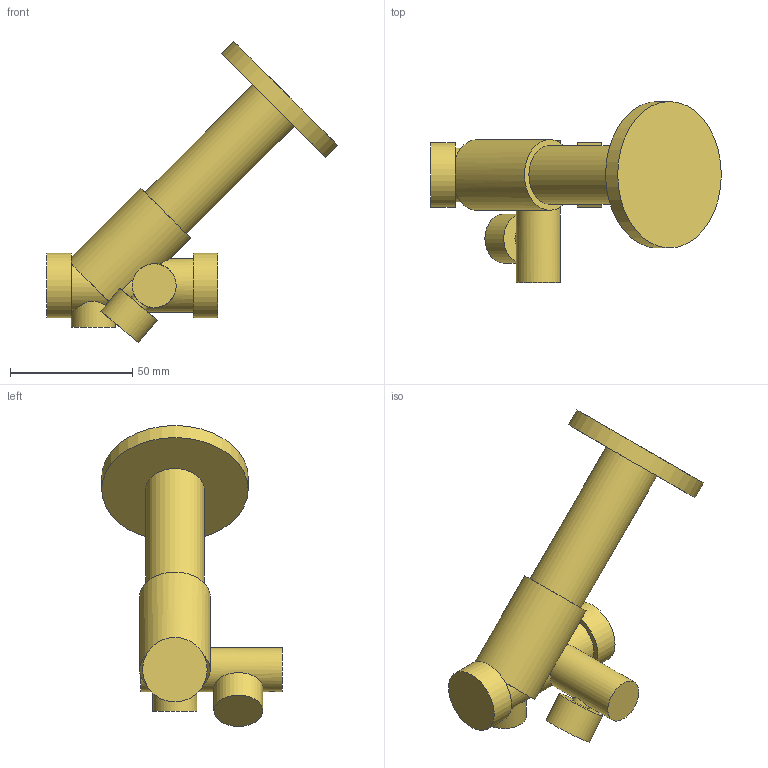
import cadquery as cq
import math


body_diameter = 22
cap_diameter = 26.44
cap_length = 10
body_start = -19
body_length = 70

post_angle = 45
sleeve_diameter = 29
sleeve_length = 42
tube_diameter = 24
plate_diameter = 60
plate_thickness = 7
plate_reach = 100

stub_diameter = 18
stub_length = 17

arm_diameter = 18
arm_x = 25
arm_back = 14
arm_front = -44

knob_angle = 50
knob_diameter = 20
knob_start = 10
knob_length = 12
knob_y = -26
neck_diameter = 8

origin = cq.Vector(0, 0, 0)


def cylinder(diameter, base, direction, start, end):
    """Cylinder on the axis through base, between two distances along the unit direction."""
    return cq.Workplane(
        cq.Solid.makeCylinder(diameter / 2, end - start, base + direction * start, direction)
    )


def direction_in_xz(angle):
    """Unit direction in the XZ plane, turned by angle degrees from +X toward +Z."""
    return cq.Vector(math.cos(math.radians(angle)), 0, math.sin(math.radians(angle)))


def make_body():
    axis = cq.Vector(1, 0, 0)
    body_end = body_start + body_length
    body = cylinder(body_diameter, origin, axis, body_start, body_end)
    for cap_start in (body_start, body_end - cap_length):
        body = body.union(cylinder(cap_diameter, origin, axis, cap_start, cap_start + cap_length))
    return body


def make_post():
    axis = direction_in_xz(post_angle)
    rim_reach = plate_diameter / 2 * axis.z
    post_length = (plate_reach - rim_reach) / axis.x
    plate_start = post_length - plate_thickness
    sleeve = cylinder(sleeve_diameter, origin, axis, 0, sleeve_length)
    tube = cylinder(tube_diameter, origin, axis, 0, plate_start)
    plate = cylinder(plate_diameter, origin, axis, plate_start, post_length)
    return sleeve.union(tube).union(plate)


def make_stub():
    return cylinder(stub_diameter, origin, cq.Vector(0, 0, -1), 0, stub_length)


def make_arm():
    return cylinder(arm_diameter, cq.Vector(arm_x, 0, 0), cq.Vector(0, 1, 0), arm_front, arm_back)


def make_knob():
    base = cq.Vector(arm_x, knob_y, 0)
    axis = direction_in_xz(180 + knob_angle)
    knob_end = knob_start + knob_length
    neck = cylinder(neck_diameter, base, axis, 0, knob_start)
    return neck.union(cylinder(knob_diameter, base, axis, knob_start, knob_end))


result = make_body().union(make_post()).union(make_stub()).union(make_arm()).union(make_knob())